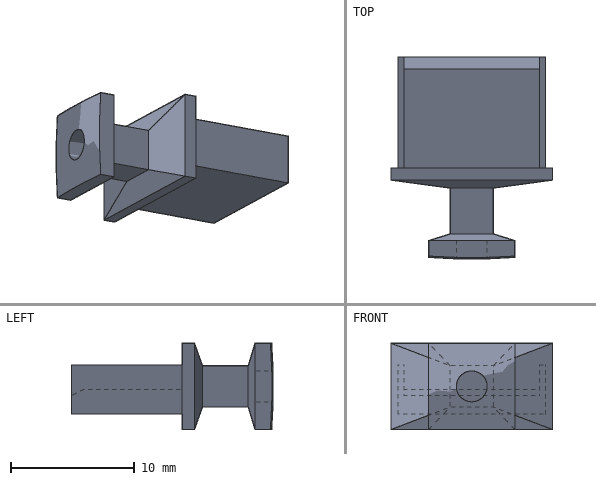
import cadquery as cq

flange_width = 13.1
flange_height = 7.0
flange_thickness = 1.0
flange_taper_length = 0.65

neck_width = 3.5
neck_height = 3.35
neck_length = 3.7

knob_side = 7.0
knob_taper_length = 0.55
knob_crown_y = -7.4
knob_crown_radius = 50.0

hole_diameter = 2.5
hole_depth = 1.5

plug_width = 12.0
plug_length = 9.0
plug_bottom_z = -2.25
plug_height = 4.0
wall_thickness = 0.5
floor_thickness = 2.0
lead_in_length = 1.0
lead_in_drop = 0.5

flange_front_y = -flange_thickness
neck_rear_y = flange_front_y - flange_taper_length
neck_front_y = neck_rear_y - neck_length
knob_rear_y = neck_front_y - knob_taper_length


def section_plane(y):
    """Workplane normal to Y at the given position, facing -Y."""
    return cq.Workplane("XZ", origin=(0, y, 0))


def block(width, height, y_start, y_end):
    """Box centred on the Y axis, running from y_start forward to y_end."""
    return section_plane(y_start).rect(width, height).extrude(y_start - y_end)


def taper(rear_size, front_size, y_start, y_end):
    """Rectangular frustum whose section changes from rear_size to front_size."""
    return (
        section_plane(y_start)
        .rect(*rear_size)
        .workplane(offset=y_start - y_end)
        .rect(*front_size)
        .loft(ruled=True)
    )


def make_flange():
    plate = block(flange_width, flange_height, 0, flange_front_y)
    slope = taper(
        (flange_width, flange_height), (neck_width, neck_height), flange_front_y, neck_rear_y
    )
    return plate.union(slope)


def make_knob():
    """Square knob with a tapered back and a spherically crowned front."""
    slope = taper((neck_width, neck_height), (knob_side, knob_side), neck_front_y, knob_rear_y)
    head = block(knob_side, knob_side, knob_rear_y, knob_crown_y)
    crown_centre_y = knob_crown_y + knob_crown_radius
    crown = cq.Workplane("XY").sphere(knob_crown_radius).translate((0, crown_centre_y, 0))
    return slope.union(head.intersect(crown))


def make_hole():
    """Blind round hole entering the crown along Y."""
    return section_plane(knob_crown_y + hole_depth).circle(hole_diameter / 2).extrude(hole_depth)


def make_plug():
    """Floor with a sloped lead-in edge between two thin side walls."""
    floor_top_z = plug_bottom_z + floor_thickness
    floor_profile = [
        (0, plug_bottom_z),
        (plug_length, plug_bottom_z),
        (plug_length, floor_top_z - lead_in_drop),
        (plug_length - lead_in_length, floor_top_z),
        (0, floor_top_z),
    ]
    plug = cq.Workplane("YZ").polyline(floor_profile).close().extrude(plug_width / 2, both=True)
    wall_offset = (plug_width - wall_thickness) / 2
    for side in (-1, 1):
        wall = (
            cq.Workplane("XY", origin=(side * wall_offset, plug_length / 2, plug_bottom_z))
            .rect(wall_thickness, plug_length)
            .extrude(plug_height)
        )
        plug = plug.union(wall)
    return plug


neck = block(neck_width, neck_height, neck_rear_y, neck_front_y)
result = make_plug().union(make_flange()).union(neck).union(make_knob()).cut(make_hole())